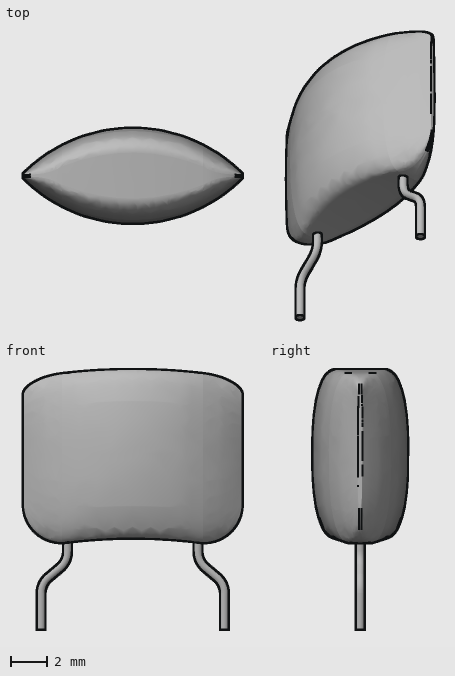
import cadquery as cq
import math


BODY_LENGTH = 12.2
HALF_LENGTH = BODY_LENGTH / 2
HALF_THICKNESS = 2.68
TIP_HALF_THICKNESS = 0.13
SHOULDER_X = 3.9

TOP_Z = 14.47
TOP_SHOULDER_DROP = 0.23
TIP_TOP_Z = 13.05
BOTTOM_Z = 5.05
BOTTOM_SHOULDER_DROP = 0.26
TIP_BOTTOM_Z = 6.95

FLAT_HALF_WIDTH = 1.27
FLAT_SHOULDER_HALF_WIDTH = 0.5
FLAT_TIP_HALF_WIDTH = 0.06
FLAT_TAPER_EXPONENT = 3

BULGE_EXPONENT = 2.4
SIDE_INTERVALS = 16
MIDDLE_INTERVALS = 4
END_INTERVALS = 8

LEAD_DIAMETER = 0.5
LEAD_RADIUS = LEAD_DIAMETER / 2
LEAD_TOP_X = 3.62
LEAD_TIP_X = 5.08
KINK_START_Z = 2.03
KINK_ANGLE = math.radians(50)
BEND_RADIUS = 1.16
LEAD_OVERRUN_Z = BOTTOM_Z + 0.72

LENS_RISE = HALF_THICKNESS - TIP_HALF_THICKNESS
LENS_RADIUS = (HALF_LENGTH**2 + LENS_RISE**2) / (2 * LENS_RISE)


def half_thickness(x):
    """Half the body thickness at x, following the lens arc."""
    return HALF_THICKNESS - LENS_RADIUS + math.sqrt(LENS_RADIUS**2 - x**2)


def shoulder_curve(centre, drop, x):
    """Parabola that falls by drop between the centre and the shoulder."""
    return centre - drop * (x / SHOULDER_X) ** 2


def end_fraction(x):
    """0 up to the shoulder, 1 at the tip."""
    return max(0.0, (abs(x) - SHOULDER_X) / (HALF_LENGTH - SHOULDER_X))


def corner_rounding(x):
    """0 up to the shoulder, then a quarter ellipse reaching 1 at the tip."""
    return 1 - math.sqrt(max(0.0, 1 - end_fraction(x) ** 2))


def top_z(x):
    crown_at_tip = shoulder_curve(TOP_Z, TOP_SHOULDER_DROP, HALF_LENGTH)
    crown = shoulder_curve(TOP_Z, TOP_SHOULDER_DROP, x)
    return crown - (crown_at_tip - TIP_TOP_Z) * corner_rounding(x)


def bottom_z(x):
    shoulder_z = BOTTOM_Z - BOTTOM_SHOULDER_DROP
    if abs(x) <= SHOULDER_X:
        return shoulder_curve(BOTTOM_Z, BOTTOM_SHOULDER_DROP, x)
    return shoulder_z + (TIP_BOTTOM_Z - shoulder_z) * corner_rounding(x)


def flat_half_width(x):
    """Half width of the top and bottom flats at x."""
    if abs(x) <= SHOULDER_X:
        return shoulder_curve(FLAT_HALF_WIDTH, FLAT_HALF_WIDTH - FLAT_SHOULDER_HALF_WIDTH, x)
    taper = (1 - end_fraction(x)) ** FLAT_TAPER_EXPONENT
    return FLAT_TIP_HALF_WIDTH + (FLAT_SHOULDER_HALF_WIDTH - FLAT_TIP_HALF_WIDTH) * taper


def body_section(x):
    """Closed wire across the body at x: two flats joined by bulged sides."""
    flat = flat_half_width(x)
    bulge = half_thickness(x) - flat
    middle_z = (top_z(x) + bottom_z(x)) / 2
    half_height = (top_z(x) - bottom_z(x)) / 2

    side = []
    for i in range(SIDE_INTERVALS + 1):
        angle = math.pi * (i / SIDE_INTERVALS - 0.5)
        across = max(0.0, math.cos(angle)) ** (2 / BULGE_EXPONENT)
        along = math.copysign(abs(math.sin(angle)) ** (2 / BULGE_EXPONENT), angle)
        side.append((flat + bulge * across, middle_z + half_height * along))

    back = [cq.Vector(x, y, z) for y, z in side]
    front = [cq.Vector(x, -y, z) for y, z in reversed(side)]
    return cq.Wire.assembleEdges([
        cq.Edge.makeSpline(back),
        cq.Edge.makeLine(back[-1], front[0]),
        cq.Edge.makeSpline(front),
        cq.Edge.makeLine(front[-1], back[0]),
    ])


def loft_sections(stations):
    return cq.Solid.makeLoft([body_section(x) for x in stations])


def make_body():
    """Crowned middle and two rounded ends, joined into one solid."""
    middle_stations = [
        SHOULDER_X * (2 * i / MIDDLE_INTERVALS - 1) for i in range(MIDDLE_INTERVALS + 1)
    ]
    end_stations = [
        SHOULDER_X + (HALF_LENGTH - SHOULDER_X) * math.sin(math.pi / 2 * i / END_INTERVALS)
        for i in range(END_INTERVALS + 1)
    ]
    right_end = loft_sections(end_stations)
    left_end = right_end.mirror("YZ")
    return cq.Workplane(loft_sections(middle_stations)).union(right_end).union(left_end)


def make_lead(side, body):
    """Round wire with an S-shaped kink; side is +1 or -1 along X."""
    bend_x = BEND_RADIUS * (1 - math.cos(KINK_ANGLE))
    bend_z = BEND_RADIUS * math.sin(KINK_ANGLE)
    mid_x = BEND_RADIUS * (1 - math.cos(KINK_ANGLE / 2))
    mid_z = BEND_RADIUS * math.sin(KINK_ANGLE / 2)
    slant_x = LEAD_TIP_X - LEAD_TOP_X - 2 * bend_x
    slant_z = slant_x / math.tan(KINK_ANGLE)
    kink_end_z = KINK_START_Z + 2 * bend_z + slant_z

    path = (
        cq.Workplane("XZ")
        .moveTo(side * LEAD_TIP_X, 0)
        .lineTo(side * LEAD_TIP_X, KINK_START_Z)
        .threePointArc(
            (side * (LEAD_TIP_X - mid_x), KINK_START_Z + mid_z),
            (side * (LEAD_TIP_X - bend_x), KINK_START_Z + bend_z),
        )
        .lineTo(side * (LEAD_TOP_X + bend_x), kink_end_z - bend_z)
        .threePointArc(
            (side * (LEAD_TOP_X + mid_x), kink_end_z - mid_z),
            (side * LEAD_TOP_X, kink_end_z),
        )
        .lineTo(side * LEAD_TOP_X, LEAD_OVERRUN_Z)
    )
    wire = cq.Workplane("XY").center(side * LEAD_TIP_X, 0).circle(LEAD_RADIUS).sweep(path)
    return wire.cut(body)


body = make_body()
leads = [make_lead(side, body) for side in (-1, 1)]

result = cq.Compound.makeCompound([body.solids().val(), *[lead.solids().val() for lead in leads]])